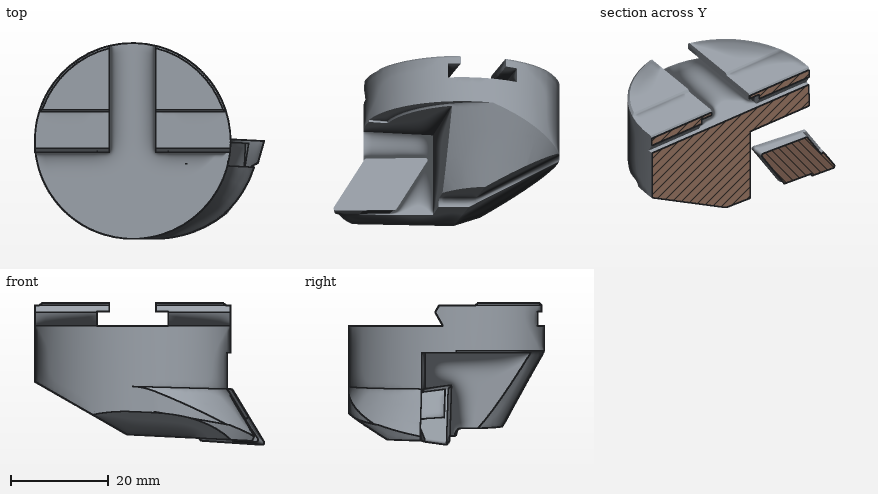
import cadquery as cq
import math

HEAD_RADIUS = 20.0
LOWER_REACH = 28.1

RAIL_HEIGHT = 4.7
RAIL_STEP_HEIGHT = 4.2
RAISED_START_Y = 6.4
RAIL_EDGE_Y = -1.5
RAIL_NOSE_Y = -2.35
RAIL_NOSE_Z = 2.8
RAIL_ROOT_Y = -0.75
NOSE_END_X = 19.95
SLOT_WIDTH = 9.45
SLOT_FOOT_WIDTH = 14.55
SLOT_FOOT_HEIGHT = 2.9

TOOL_YAW = 3.0
SHOULDER_FLAT = 4.45
CLEARANCE_RADIUS = 22.85
SHOULDER_TIP_X = 25.6
SHOULDER_TIP_Y = -6.1
FLARE_TOP_Z = -12.35
FLARE_ANGLE = 30.6
FLARE_TILT = 1.5
CLEARANCE_TOP_Z = -17.53
CLEARANCE_ANGLE = 14.0
CLEARANCE_TILT = 10.0

BASE_Z = -22.25
BASE_TILT = 2.8
LEFT_BEVEL_TOP_Z = -11.4
LEFT_BEVEL_ANGLE = 29.8
FRONT_BEVEL_Y = -12.1
FRONT_BEVEL_ANGLE = 31.0
REAR_STEP_Y = 1.95
REAR_BASE_RISE = 1.6
REAR_BEVEL_RISE = 1.0
REAR_STEP_FILLET = 1.4
REAR_CONE_X = -3.75
REAR_CONE_TOP_Z = -5.1
REAR_CONE_ANGLE = 29.0

POCKET_TOP_Z = -5.55
POCKET_LEFT_X = 5.15
SEAT_OFFSET = -4.1

INSERT_THICKNESS = 5.5
INSERT_ANGLE = 55.0
INSERT_EDGE = 13.4
INSERT_TIP_X = 27.23
INSERT_TIP_Z = -24.35
INSERT_RELIEF = 7.0
INSERT_TILT = 3.8
INSERT_NOSE_RADIUS = 0.45
FLANK_RECESS_START = 0.65
FLANK_RECESS_DEPTH = 0.85
TIP_BEVEL_THICKNESS = 1.12
TIP_BEVEL_LENGTH = 2.8

BIG = 70.3


def block(x0, x1, y0, y1, z0, z1):
    """Box given by its limits."""
    return cq.Workplane("XY").box(x1 - x0, y1 - y0, z1 - z0, centered=False).translate((x0, y0, z0))


def yawed(shape):
    return shape.rotate((0, 0, 0), (0, 0, 1), -TOOL_YAW)


def below_underside(base_rise, bevel_rise):
    """Waste below the sloping underside and below the left bevel."""
    base_slope = math.tan(math.radians(BASE_TILT))
    bevel_slope = math.tan(math.radians(LEFT_BEVEL_ANGLE))
    base_z = BASE_Z + base_rise
    bevel_z = LEFT_BEVEL_TOP_Z + bevel_rise - bevel_slope * HEAD_RADIUS
    ridge_x = (base_z - bevel_z) / (base_slope - bevel_slope)
    outline = [
        (-BIG, bevel_z + bevel_slope * BIG),
        (ridge_x, base_z - base_slope * ridge_x),
        (BIG, base_z - base_slope * BIG),
        (BIG, -BIG),
        (-BIG, -BIG),
    ]
    return cq.Workplane("XZ").polyline(outline).close().extrude(BIG, both=True)


def make_head():
    """Full-height cylinder with the two rails cut free at its upper end."""
    chamfer = RAIL_HEIGHT - RAIL_STEP_HEIGHT
    stock = cq.Workplane("XY").workplane(offset=-LOWER_REACH).circle(HEAD_RADIUS)
    stock = stock.extrude(LOWER_REACH + RAIL_HEIGHT)
    stock = stock.faces(">Z").chamfer(chamfer)
    stock = stock.union(block(-NOSE_END_X, NOSE_END_X, RAIL_NOSE_Y, RAIL_ROOT_Y, 0, RAIL_STEP_HEIGHT))
    front_waste = [
        (-BIG, 0),
        (RAIL_ROOT_Y, 0),
        (RAIL_NOSE_Y, RAIL_NOSE_Z),
        (RAIL_EDGE_Y, RAIL_STEP_HEIGHT),
        (RAISED_START_Y - chamfer, RAIL_STEP_HEIGHT),
        (RAISED_START_Y, RAIL_HEIGHT),
        (RAISED_START_Y, BIG),
        (-BIG, BIG),
    ]
    front = cq.Workplane("YZ").polyline(front_waste).close().extrude(BIG, both=True)
    slot = block(-SLOT_WIDTH / 2, SLOT_WIDTH / 2, -BIG, BIG, 0, BIG)
    foot = block(-SLOT_FOOT_WIDTH / 2, SLOT_FOOT_WIDTH / 2, -BIG, BIG, 0, SLOT_FOOT_HEIGHT)
    return stock.cut(front).cut(slot).cut(foot)


def make_clearance():
    """Waste outside a tilted cone that narrows the shoulder wall downwards."""
    depth = LOWER_REACH
    end_radius = CLEARANCE_RADIUS - depth * math.tan(math.radians(CLEARANCE_ANGLE))
    base = cq.Vector(SHOULDER_FLAT, CLEARANCE_RADIUS - HEAD_RADIUS, CLEARANCE_TOP_Z)
    cone = cq.Solid.makeCone(CLEARANCE_RADIUS, end_radius, depth, base, cq.Vector(0, 0, -1))
    waste = block(SHOULDER_FLAT, BIG, -BIG, BIG, CLEARANCE_TOP_Z - depth, CLEARANCE_TOP_Z)
    waste = waste.cut(cq.Workplane("XY").add(cone))
    return waste.rotate(base.toTuple(), (base + cq.Vector(0, 0.45, 0)).toTuple(), CLEARANCE_TILT)


def make_shoulder():
    """Overhang carrying the insert: a rounded plan shape trimmed by a flaring cone."""
    plan = (
        cq.Workplane("XY")
        .moveTo(0, -HEAD_RADIUS)
        .lineTo(SHOULDER_FLAT, -HEAD_RADIUS)
        .tangentArcPoint((SHOULDER_TIP_X, SHOULDER_TIP_Y), relative=False)
        .lineTo(SHOULDER_TIP_X, 0)
        .lineTo(0, 0)
        .close()
        .extrude(-LOWER_REACH)
    )
    end_radius = HEAD_RADIUS + LOWER_REACH * math.tan(math.radians(FLARE_ANGLE))
    flare = cq.Workplane("XY").add(
        cq.Solid.makeCone(
            HEAD_RADIUS, end_radius, LOWER_REACH, cq.Vector(0, 0, FLARE_TOP_Z), cq.Vector(0, 0, -1)
        )
    )
    flare = flare.rotate((0, 0, FLARE_TOP_Z), (0, 1, FLARE_TOP_Z), FLARE_TILT)
    return plan.intersect(flare).cut(make_clearance())


def make_front_bevel():
    """Waste below the front bevel, which tilts with the underside."""
    rise = BIG * math.tan(math.radians(FRONT_BEVEL_ANGLE))
    far_y = FRONT_BEVEL_Y - BIG
    outline = [(FRONT_BEVEL_Y, 0), (far_y, rise), (far_y, -BIG), (FRONT_BEVEL_Y, -BIG)]
    waste = cq.Workplane("YZ").polyline(outline).close().extrude(BIG, both=True)
    return waste.rotate((0, 0, 0), (0, 1, 0), BASE_TILT).translate((0, 0, BASE_Z))


def make_rear_relief():
    """Raised underside and bevel behind a filleted step."""
    waste = below_underside(REAR_BASE_RISE, REAR_BEVEL_RISE)
    waste = waste.intersect(yawed(block(-BIG, BIG, REAR_STEP_Y, BIG, -BIG, 0)))
    yaw = math.radians(TOOL_YAW)
    across = cq.Vector(math.sin(yaw), math.cos(yaw), 0)
    wall = waste.faces(cq.selectors.DirectionMinMaxSelector(across, directionMax=False))
    inner_edges = [
        edge
        for edge in wall.edges().vals()
        if edge.Center().z > -BIG / 2 and edge.BoundingBox().xlen > HEAD_RADIUS
    ]
    return waste.newObject(inner_edges).fillet(REAR_STEP_FILLET)


def make_rear_cone():
    """Waste outside the conical rear relief."""
    depth = LOWER_REACH
    end_radius = HEAD_RADIUS - depth * math.tan(math.radians(REAR_CONE_ANGLE))
    cone = cq.Solid.makeCone(
        HEAD_RADIUS, end_radius, depth, cq.Vector(REAR_CONE_X, 0, REAR_CONE_TOP_Z), cq.Vector(0, 0, -1)
    )
    waste = block(-BIG, BIG, REAR_STEP_Y, BIG, -LOWER_REACH, REAR_CONE_TOP_Z)
    return waste.cut(cq.Workplane("XY").add(cone))


def make_holder():
    pocket = yawed(block(POCKET_LEFT_X, BIG, SEAT_OFFSET, BIG, -BIG, POCKET_TOP_Z))
    return (
        make_head()
        .union(make_shoulder())
        .cut(below_underside(0, 0))
        .cut(make_front_bevel())
        .cut(make_rear_relief())
        .cut(make_rear_cone())
        .cut(pocket)
    )


def make_insert():
    """Rhombic insert lying on the seat, its tip at the lower right."""
    tip_angle = math.radians(INSERT_ANGLE)
    run = INSERT_EDGE * math.cos(tip_angle)
    rise = INSERT_EDGE * math.sin(tip_angle)
    rhombus = [(0, 0), (-INSERT_EDGE, 0), (-INSERT_EDGE - run, rise), (-run, rise)]
    insert = cq.Workplane("XZ").polyline(rhombus).close().extrude(INSERT_THICKNESS, taper=INSERT_RELIEF)
    corners = [edge for edge in insert.edges().vals() if edge.BoundingBox().ylen > INSERT_THICKNESS / 2]
    insert = insert.newObject(corners).fillet(INSERT_NOSE_RADIUS)

    lower_recess = block(
        -BIG, -INSERT_EDGE / 2, -BIG, -FLANK_RECESS_START, -BIG, FLANK_RECESS_DEPTH
    )
    bisector = math.pi - tip_angle / 2
    mirror_normal = cq.Vector(-math.sin(bisector), 0, math.cos(bisector))
    right_recess = cq.Workplane("XY").add(lower_recess.val().mirror(mirror_normal, (0, 0, 0)))
    insert = insert.cut(lower_recess).cut(right_recess)

    bevel_outline = [
        (0, -INSERT_THICKNESS + TIP_BEVEL_THICKNESS),
        (-TIP_BEVEL_LENGTH, -INSERT_THICKNESS),
        (-TIP_BEVEL_LENGTH, -BIG),
        (BIG, -BIG),
        (BIG, -INSERT_THICKNESS + TIP_BEVEL_THICKNESS),
    ]
    relief_setback = INSERT_THICKNESS * math.tan(math.radians(INSERT_RELIEF)) / math.sin(tip_angle / 2)
    bevel = cq.Workplane("XY").polyline(bevel_outline).close().extrude(BIG, both=True)
    bevel = bevel.translate((-relief_setback, 0, 0))
    bevel = bevel.rotate((0, 0, 0), (0, 1, 0), INSERT_ANGLE / 2)
    insert = insert.cut(bevel)

    insert = insert.rotate((0, 0, 0), (0, 1, 0), INSERT_TILT)
    seat_to_rake = SEAT_OFFSET + INSERT_THICKNESS
    return yawed(insert.translate((INSERT_TIP_X, seat_to_rake, INSERT_TIP_Z)))


holder = make_holder()
insert = make_insert()
result = cq.Compound.makeCompound([holder.solids().val(), insert.solids().val()])